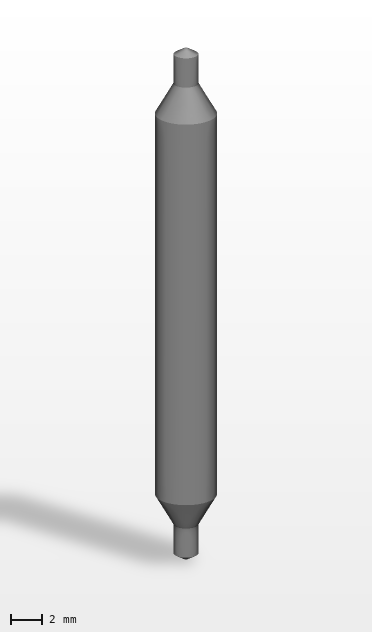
import cadquery as cq
import math

total_length = 35.5
body_diameter = 4.0
pilot_diameter = 1.6
pilot_length = 2.5
countersink_angle = 60.0
point_angle = 120.0

body_radius = body_diameter / 2
pilot_radius = pilot_diameter / 2


def cone_height(radius_change, included_angle):
    """Axial length of a cone with the given change in radius."""
    return radius_change / math.tan(math.radians(included_angle / 2))


tip_z = total_length / 2
point_base_z = tip_z - cone_height(pilot_radius, point_angle)
pilot_base_z = tip_z - pilot_length
body_end_z = pilot_base_z - cone_height(body_radius - pilot_radius, countersink_angle)

upper_profile = [
    (0, tip_z),
    (pilot_radius, point_base_z),
    (pilot_radius, pilot_base_z),
    (body_radius, body_end_z),
]
lower_profile = [(radius, -z) for radius, z in reversed(upper_profile)]

result = (
    cq.Workplane("XZ")
    .polyline(upper_profile + lower_profile)
    .close()
    .revolve(360, (0, 0, 0), (0, 1, 0))
)